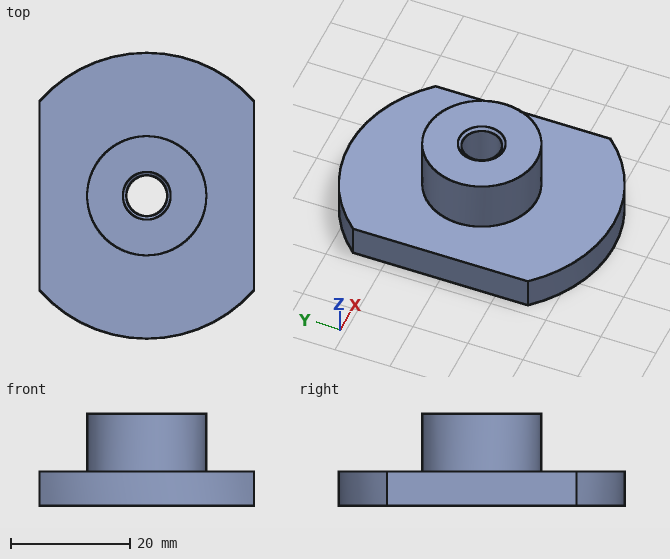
import cadquery as cq

flange_diameter = 48.0
flange_width = 36.0
flange_thickness = 5.8
total_height = 15.5
boss_diameter = 20.0
bore_diameter = 6.8
bore_mouth_diameter = 8.0
mouth_depth = 0.5

boss_height = total_height - flange_thickness
mouth_width = (bore_mouth_diameter - bore_diameter) / 2


def make_flange():
    """Round plate with two parallel flats facing -X and +X."""
    disc = cq.Workplane("XY").circle(flange_diameter / 2).extrude(flange_thickness)
    flats = cq.Workplane("XY").rect(flange_width, flange_diameter).extrude(flange_thickness)
    return disc.intersect(flats)


def make_boss():
    """Round boss standing on the centre of the flange."""
    base = cq.Workplane("XY").workplane(offset=flange_thickness)
    return base.circle(boss_diameter / 2).extrude(boss_height)


body = make_flange().union(make_boss())
bored = body.faces(">Z").workplane().hole(bore_diameter)
mouth_edge = bored.faces(">Z").edges(cq.selectors.RadiusNthSelector(0))
result = mouth_edge.chamfer(mouth_depth, mouth_width)